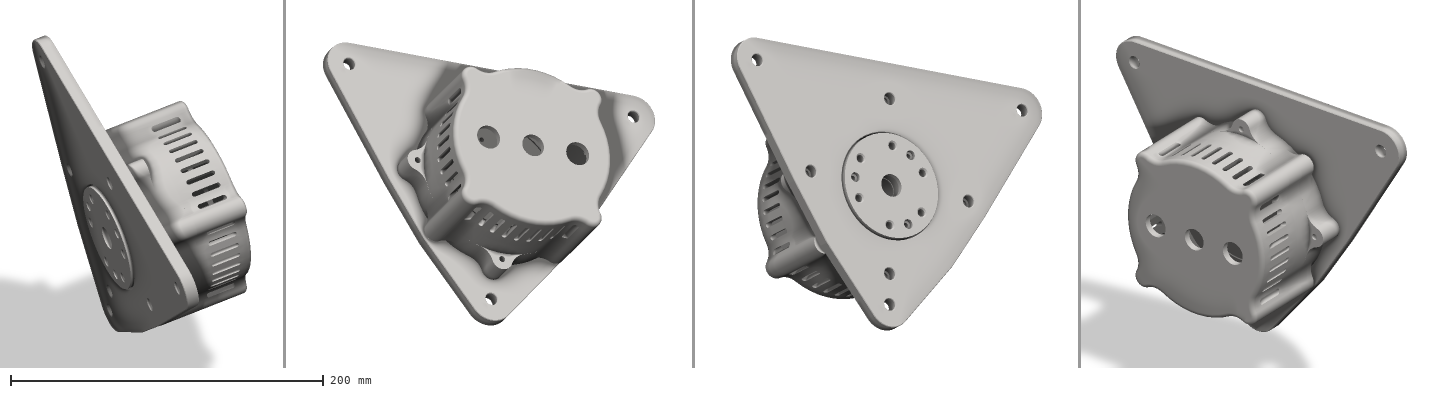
import cadquery as cq
import math


PLATE_LENGTH = 228.5
PLATE_THICKNESS = 8.5
PLATE_EDGE_CHAMFER = 0.5
PLATE_CORNER_RADIUS = 15.0
TOP_HOLE_Z = 68.0
BOTTOM_HOLE_Z = -79.7
UPPER_BEND = (71.3, -8.5)
LOWER_BEND = (47.0, -46.0)
CORNER_HOLE_DIAMETER = 8.0
SCREW_HEAD_DIAMETER = 8.0
SCREW_HEAD_DEPTH = 6.9
SCREW_CLEARANCE_DIAMETER = 5.0
PLATE_BORE_DIAMETER = 71.7
TOP_HOLE_X = PLATE_LENGTH / 2 - PLATE_CORNER_RADIUS

CORE_RADIUS = 54.8
BORE_RADIUS = 50.2
BOSS_CENTER_RADIUS = 59.0
BOSS_RADIUS = 7.0
BLEND_RADIUS = 12.8
LUG_ANGLES = (0, 90, 180, 270)
PILLAR_ANGLES = (45, 135, 225, 315)

PILLAR_FRONT_Y = 4.5
FLANGE_REAR_Y = 17.1
RING_REAR_Y = 30.1
CAP_REAR_Y = 66.7

LUG_HOLE_DIAMETER = 4.0

CAP_WALL = CORE_RADIUS - BORE_RADIUS
CAP_EDGE_FILLET = 3.0
AXIS_HOLE_DIAMETER = 15.0
REAR_PORT_DIAMETER = 16.0
REAR_PORT_OFFSET = 31.0
SLOT_COUNT = 40
SLOT_LENGTH = 20.0
SLOT_WIDTH = 3.2
SLOT_CENTER_Y = 48.2

DISC_DIAMETER = 70.0
DISC_PROJECTION = 1.8
DISC_GROOVE_DIAMETER = 16.0
DISC_GROOVE_START = 3.5
DISC_GROOVE_END = 10.0
DISC_HOLE_CIRCLE_RADIUS = 27.0
DISC_TURN = -2.2
THREAD_HOLE_COUNT = 6
THREAD_HOLE_DIAMETER = 5.0
THREAD_MOUTH_DIAMETER = 6.9
THREAD_HOLE_DEPTH = 11.5
PIN_HOLE_COUNT = 3
PIN_HOLE_DIAMETER = 3.2
PIN_COUNTERBORE_DIAMETER = 6.5
PIN_COUNTERBORE_DEPTH = 3.0


def section_plane(y):
    """Sketch plane across the motor axis: local x is X, local y is Z, extrusion runs toward -Y."""
    return cq.Workplane("XZ", origin=(0, y, 0))


def polar(radius, degrees):
    angle = math.radians(degrees)
    return (radius * math.cos(angle), radius * math.sin(angle))


def point_between(start, end, distance):
    """Point at a distance from start on the line toward end."""
    share = distance / math.dist(start, end)
    return (start[0] + share * (end[0] - start[0]), start[1] + share * (end[1] - start[1]))


def mirrored(point):
    return (-point[0], point[1])


def cylinder(diameter, y_front, y_rear, center=(0, 0)):
    """Solid cylinder parallel to the motor axis; center is (X, Z)."""
    return section_plane(y_rear).center(*center).circle(diameter / 2).extrude(y_rear - y_front)


def blend_arc_middle(center, start, end):
    """Middle of the blend arc that runs from start to end around its center."""
    chord_middle = ((start[0] + end[0]) / 2, (start[1] + end[1]) / 2)
    return point_between(center, chord_middle, BLEND_RADIUS)


def lobed_prism(boss_angles, y_front, y_rear):
    """Round core with a boss at each angle, joined to the core by tangent concave arcs."""
    blend_center_radius = CORE_RADIUS + BLEND_RADIUS
    blend_half_angle = math.degrees(math.acos(
        (blend_center_radius**2 + BOSS_CENTER_RADIUS**2 - (BOSS_RADIUS + BLEND_RADIUS)**2)
        / (2 * blend_center_radius * BOSS_CENTER_RADIUS)
    ))
    boss_spacing = 360 / len(boss_angles)

    outline = section_plane(y_rear).moveTo(*polar(CORE_RADIUS, boss_angles[0] - blend_half_angle))
    for angle in boss_angles:
        boss_center = polar(BOSS_CENTER_RADIUS, angle)
        blend_in = polar(blend_center_radius, angle - blend_half_angle)
        blend_out = polar(blend_center_radius, angle + blend_half_angle)
        foot_in = polar(CORE_RADIUS, angle - blend_half_angle)
        foot_out = polar(CORE_RADIUS, angle + blend_half_angle)
        boss_start = point_between(boss_center, blend_in, BOSS_RADIUS)
        boss_end = point_between(boss_center, blend_out, BOSS_RADIUS)
        boss_tip = polar(BOSS_CENTER_RADIUS + BOSS_RADIUS, angle)
        outline = (
            outline
            .threePointArc(blend_arc_middle(blend_in, foot_in, boss_start), boss_start)
            .threePointArc(boss_tip, boss_end)
            .threePointArc(blend_arc_middle(blend_out, boss_end, foot_out), foot_out)
            .threePointArc(
                polar(CORE_RADIUS, angle + boss_spacing / 2),
                polar(CORE_RADIUS, angle + boss_spacing - blend_half_angle),
            )
        )
    return outline.close().extrude(y_rear - y_front)


def tangent_point(circle_center, outside_point, side):
    """Where a line from outside_point touches a plate corner circle; side picks one of the two."""
    dx = outside_point[0] - circle_center[0]
    dz = outside_point[1] - circle_center[1]
    toward_point = math.degrees(math.atan2(dz, dx))
    swing = math.degrees(math.acos(PLATE_CORNER_RADIUS / math.hypot(dx, dz)))
    offset = polar(PLATE_CORNER_RADIUS, toward_point + side * swing)
    return (circle_center[0] + offset[0], circle_center[1] + offset[1])


def make_plate():
    top_center = (TOP_HOLE_X, TOP_HOLE_Z)
    bottom_center = (0, BOTTOM_HOLE_Z)
    top_z = TOP_HOLE_Z + PLATE_CORNER_RADIUS
    top_edge_end = (TOP_HOLE_X, top_z)
    corner_tip = (TOP_HOLE_X + PLATE_CORNER_RADIUS, TOP_HOLE_Z)
    side_start = tangent_point(top_center, UPPER_BEND, 1)
    side_end = tangent_point(bottom_center, LOWER_BEND, -1)
    bottom_tip = (0, BOTTOM_HOLE_Z - PLATE_CORNER_RADIUS)

    plate = (
        section_plane(0)
        .moveTo(*mirrored(top_edge_end))
        .lineTo(*top_edge_end)
        .threePointArc(corner_tip, side_start)
        .lineTo(*UPPER_BEND)
        .lineTo(*LOWER_BEND)
        .lineTo(*side_end)
        .threePointArc(bottom_tip, mirrored(side_end))
        .lineTo(*mirrored(LOWER_BEND))
        .lineTo(*mirrored(UPPER_BEND))
        .lineTo(*mirrored(side_start))
        .threePointArc(mirrored(corner_tip), mirrored(top_edge_end))
        .close()
        .extrude(PLATE_THICKNESS)
    )
    return cut_plate_holes(plate, (top_center, mirrored(top_center), bottom_center))


def cut_plate_holes(plate, corner_centers):
    """Bore, corner holes and counterbored screw holes, with every edge but the clearance holes chamfered."""
    front = -PLATE_THICKNESS
    screw_centers = [polar(BOSS_CENTER_RADIUS, angle) for angle in LUG_ANGLES]

    plate = plate.cut(cylinder(PLATE_BORE_DIAMETER, front, 0))
    for center in corner_centers:
        plate = plate.cut(cylinder(CORNER_HOLE_DIAMETER, front, 0, center))
    for center in screw_centers:
        plate = plate.cut(cylinder(SCREW_HEAD_DIAMETER, front, front + SCREW_HEAD_DEPTH, center))

    plate = plate.faces("<Y or >Y").edges().chamfer(PLATE_EDGE_CHAMFER)

    for center in screw_centers:
        plate = plate.cut(cylinder(SCREW_CLEARANCE_DIAMETER, front, 0, center))
    return plate


def make_flange():
    """Front housing section: full-depth lugs for the plate screws, pillars that stop short of the plate."""
    lugs = lobed_prism(LUG_ANGLES, 0, FLANGE_REAR_Y)
    pillars = lobed_prism(PILLAR_ANGLES, PILLAR_FRONT_Y, FLANGE_REAR_Y)
    flange = lugs.union(pillars).cut(cylinder(PLATE_BORE_DIAMETER, 0, FLANGE_REAR_Y))
    for angle in LUG_ANGLES:
        center = polar(BOSS_CENTER_RADIUS, angle)
        flange = flange.cut(cylinder(LUG_HOLE_DIAMETER, 0, FLANGE_REAR_Y, center))
    return flange


def make_ring():
    ring = lobed_prism(PILLAR_ANGLES, FLANGE_REAR_Y, RING_REAR_Y)
    return ring.cut(cylinder(2 * BORE_RADIUS, FLANGE_REAR_Y, RING_REAR_Y))


def make_cap():
    cap = lobed_prism(PILLAR_ANGLES, RING_REAR_Y, CAP_REAR_Y)
    cap = cap.faces(">Y").edges().fillet(CAP_EDGE_FILLET)
    cap = cap.cut(cylinder(2 * BORE_RADIUS, RING_REAR_Y, CAP_REAR_Y - CAP_WALL))
    cap = cap.cut(cylinder(AXIS_HOLE_DIAMETER, RING_REAR_Y, CAP_REAR_Y))
    for x in (-REAR_PORT_OFFSET, REAR_PORT_OFFSET):
        cap = cap.cut(cylinder(REAR_PORT_DIAMETER, RING_REAR_Y, CAP_REAR_Y, (x, 0)))
    return cut_vent_slots(cap)


def cut_vent_slots(cap):
    """Radial slots around the cap wall, except on the pillar center lines."""
    inner_reach = BORE_RADIUS - CAP_WALL
    outer_reach = BOSS_CENTER_RADIUS + BOSS_RADIUS
    slot = (
        cq.Workplane("YZ", origin=(inner_reach, SLOT_CENTER_Y, 0))
        .slot2D(SLOT_LENGTH, SLOT_WIDTH)
        .extrude(outer_reach - inner_reach)
    )
    for index in range(SLOT_COUNT):
        angle = index * 360 / SLOT_COUNT
        if angle not in PILLAR_ANGLES:
            cap = cap.cut(slot.rotate((0, 0, 0), (0, 1, 0), angle))
    return cap


def make_output_disc():
    front = -PLATE_THICKNESS - DISC_PROJECTION
    disc = cylinder(DISC_DIAMETER, front, FLANGE_REAR_Y)
    disc = disc.cut(cylinder(AXIS_HOLE_DIAMETER, front, FLANGE_REAR_Y))
    disc = disc.cut(cylinder(DISC_GROOVE_DIAMETER, front + DISC_GROOVE_START, front + DISC_GROOVE_END))

    mouth_depth = (THREAD_MOUTH_DIAMETER - THREAD_HOLE_DIAMETER) / 2
    for index in range(THREAD_HOLE_COUNT):
        center = polar(DISC_HOLE_CIRCLE_RADIUS, DISC_TURN + (index + 0.5) * 360 / THREAD_HOLE_COUNT)
        mouth = cq.Workplane(cq.Solid.makeCone(
            THREAD_MOUTH_DIAMETER / 2, THREAD_HOLE_DIAMETER / 2, mouth_depth,
            pnt=cq.Vector(center[0], front, center[1]), dir=cq.Vector(0, 1, 0),
        ))
        disc = disc.cut(cylinder(THREAD_HOLE_DIAMETER, front, front + THREAD_HOLE_DEPTH, center)).cut(mouth)

    for index in range(PIN_HOLE_COUNT):
        center = polar(DISC_HOLE_CIRCLE_RADIUS, DISC_TURN + (index + 0.5) * 360 / PIN_HOLE_COUNT)
        disc = disc.cut(cylinder(PIN_HOLE_DIAMETER, front, FLANGE_REAR_Y, center))
        disc = disc.cut(cylinder(PIN_COUNTERBORE_DIAMETER, front, front + PIN_COUNTERBORE_DEPTH, center))
    return disc


plate = make_plate()
flange = make_flange()
ring = make_ring()
cap = make_cap()
output_disc = make_output_disc()

result = cq.Compound.makeCompound([
    plate.val(),
    flange.val(),
    ring.val(),
    cap.val(),
    output_disc.val(),
])